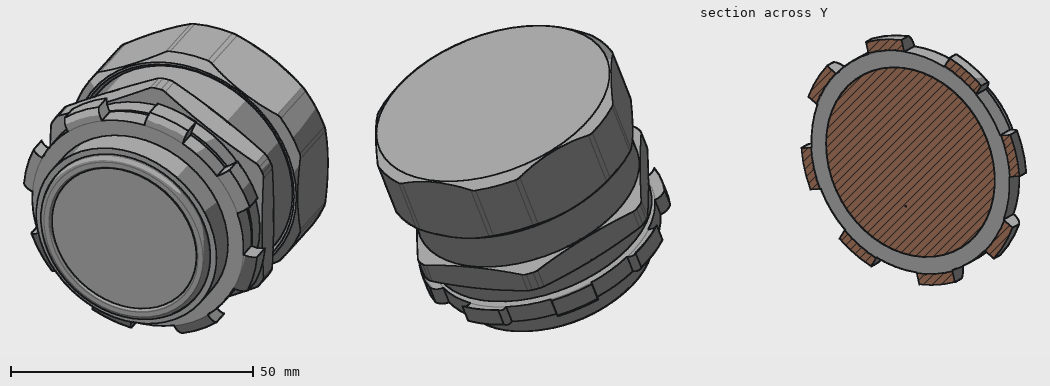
import cadquery as cq
import math

total_length = 45.65

rim_end = 1.5
ring_start = 7.15
shoulder_start = 12.2
small_nut_start = 15.8
small_nut_end = 21.75
big_nut_start = 30.4

rim_diameter = 38.3
recess_diameter = 32.95
thread_diameter = 41.1
shoulder_diameter = 47.5
body_diameter = 48.2

rim_fillet = 1.05
recess_fillet = 0.5
recess_depth = 0.55

hexagon_half_angle = 30
big_nut_flats = 51.0
big_nut_corners = 54.2
big_nut_fillet = 3.0
big_nut_chamfer_length = 1.6
big_nut_chamfer_depth = 1.8
big_nut_mouth_diameter = 49.55
small_nut_flats = 48.45
small_nut_corners = 54.5
small_nut_fillet = 2.2
small_nut_chamfer_length = 0.85
small_nut_chamfer_depth = (small_nut_corners - shoulder_diameter) / 2

ring_diameter = body_diameter
ring_thickness = 3.9
lug_count = 8
lug_first_angle = 30.7
lug_tip_radius = 26.65
lug_width = 9.05
lug_rise = 1.3


def turned(profile):
    """Solid of revolution about the Y axis from a closed half profile in the XY plane."""
    return profile.close().revolve(360, (0, 0, 0), (0, 1, 0))


def cylinder(diameter, start, end):
    """Cylinder along the Y axis between two stations."""
    radius = diameter / 2
    return turned(
        cq.Workplane("XY")
        .moveTo(0, start)
        .lineTo(radius, start)
        .lineTo(radius, end)
        .lineTo(0, end)
    )


def thread_mouth():
    """Rounded rim at the front end with a shallow round-edged recess."""
    rim = cylinder(rim_diameter, 0, rim_end).faces("<Y").edges().fillet(rim_fillet)
    recess = cylinder(recess_diameter, 0, recess_depth)
    rim = rim.cut(recess)
    mouth_edge = cq.selectors.RadiusNthSelector(0)
    return rim.faces("<Y").edges(mouth_edge).fillet(recess_fillet)


def hexagon_nut(flats, corners, fillet, chamfer_length, chamfer_depth, start, end):
    """Hexagon nut with turned-down, softened corners and conical chamfers at both ends."""
    length = end - start
    prism = (
        cq.Workplane("XZ", origin=(0, end, 0))
        .transformed(rotate=(0, 0, hexagon_half_angle))
        .polygon(6, flats / math.cos(math.radians(hexagon_half_angle)))
        .extrude(length)
    )
    nut = prism.intersect(cylinder(corners, start, end)).edges("|Y").fillet(fillet)
    corner_radius = corners / 2
    end_radius = corner_radius - chamfer_depth
    envelope = turned(
        cq.Workplane("XY")
        .moveTo(0, start)
        .lineTo(end_radius, start)
        .lineTo(corner_radius, start + chamfer_length)
        .lineTo(corner_radius, end - chamfer_length)
        .lineTo(end_radius, end)
        .lineTo(0, end)
    )
    return nut.intersect(envelope)


def big_nut():
    """Rear nut with a 45 degree countersink that opens around the body at its front face."""
    nut = hexagon_nut(
        big_nut_flats, big_nut_corners, big_nut_fillet,
        big_nut_chamfer_length, big_nut_chamfer_depth, big_nut_start, total_length,
    )
    mouth_radius = big_nut_mouth_diameter / 2
    body_radius = body_diameter / 2
    countersink = turned(
        cq.Workplane("XY")
        .moveTo(body_radius, big_nut_start)
        .lineTo(mouth_radius, big_nut_start)
        .lineTo(body_radius, big_nut_start + mouth_radius - body_radius)
    )
    return nut.cut(countersink)


def locknut():
    """Ring with evenly spaced parallel-sided lugs that curl backwards."""
    ring_radius = ring_diameter / 2
    ring_back = ring_start + ring_thickness
    lug_reach = lug_tip_radius - ring_radius
    curl_radius = (lug_reach**2 + lug_rise**2) / (2 * lug_rise)
    half_angle = math.asin(lug_reach / curl_radius) / 2
    mid_reach = curl_radius * math.sin(half_angle)
    mid_rise = curl_radius * (1 - math.cos(half_angle))
    flange = turned(
        cq.Workplane("XY")
        .moveTo(0, ring_start)
        .lineTo(ring_radius, ring_start)
        .threePointArc(
            (ring_radius + mid_reach, ring_start + mid_rise),
            (lug_tip_radius, ring_start + lug_rise),
        )
        .lineTo(lug_tip_radius, ring_back + lug_rise)
        .threePointArc(
            (ring_radius + mid_reach, ring_back + mid_rise),
            (ring_radius, ring_back),
        )
        .lineTo(0, ring_back)
    )
    ring_and_bars = cylinder(ring_diameter, ring_start, ring_back)
    bar_length = 3 * lug_tip_radius
    bar_height = 2 * ring_thickness
    for index in range(lug_count // 2):
        angle = lug_first_angle + index * 360 / lug_count
        bar = (
            cq.Workplane("XY")
            .box(bar_length, bar_height, lug_width)
            .translate((0, ring_back, 0))
            .rotate((0, 0, 0), (0, 1, 0), -angle)
        )
        ring_and_bars = ring_and_bars.union(bar)
    return flange.intersect(ring_and_bars)


result = (
    thread_mouth()
    .union(cylinder(thread_diameter, rim_end, shoulder_start))
    .union(locknut())
    .union(cylinder(shoulder_diameter, shoulder_start, small_nut_start))
    .union(
        hexagon_nut(
            small_nut_flats, small_nut_corners, small_nut_fillet,
            small_nut_chamfer_length, small_nut_chamfer_depth, small_nut_start, small_nut_end,
        )
    )
    .union(cylinder(body_diameter, small_nut_end, big_nut_start))
    .union(big_nut())
)